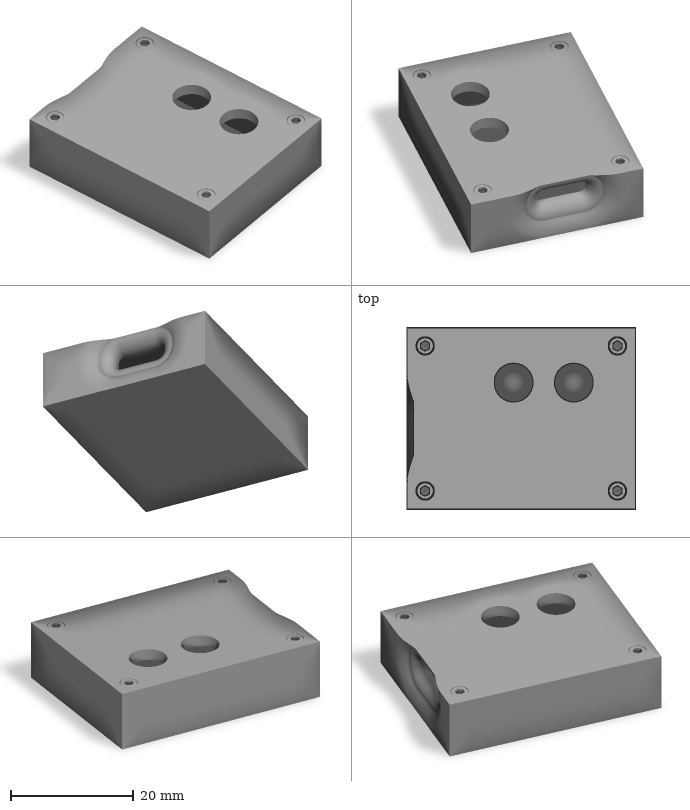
import cadquery as cq
import math

length = 37.5
width = 29.76
height = 10.2
lid_thickness = 2.0
box_height = height - lid_thickness

wall = 3.75
floor_thickness = 2.4

window_diameter = 6.35
window_count = 2
window_spacing = 9.86
first_window_x = 17.5
window_y = 5.87

port_y = -1.65
port_z = 6.5
port_width = 8.95
port_height = 3.05
port_corner_radius = 1.24
throat_round = 2.25
mouth_depth = 1.1
mouth_spread = 3.33
throat_radius = port_corner_radius + throat_round
mouth_radius = throat_radius + mouth_spread
throat_depth = mouth_depth + throat_round
mouth_arc_radius = (mouth_spread**2 + mouth_depth**2) / (2 * mouth_depth)
mouth_arc_angle = math.asin(mouth_spread / mouth_arc_radius)

screw_inset = 3.0
head_diameter = 3.0
head_height = 1.6
head_edge_chamfer = 0.15
socket_across_flats = 1.5
socket_depth = 0.7
socket_tip_depth = 0.07
socket_tip_flat = 0.03
hex_sides = 6
half_hex_step = 180 / hex_sides
socket_across_corners = socket_across_flats / math.cos(math.radians(half_hex_step))
shank_diameter = 1.5
shank_length = 5.0
screw_points = [
    (x, y)
    for x in (screw_inset, length - screw_inset)
    for y in (screw_inset - width / 2, width / 2 - screw_inset)
]


def block(x_size, y_size, z_bottom, z_top, x_start=0):
    """Box centred in Y that starts at x_start and fills z_bottom to z_top."""
    solid = cq.Workplane("XY").box(x_size, y_size, z_top - z_bottom, centered=(False, True, False))
    return solid.translate((x_start, 0, z_bottom))


def port_profile():
    """Half section of the port in XY: X is depth into the wall, Y is distance from the corner axis."""
    half_angle = mouth_arc_angle / 2
    mouth_middle = (
        mouth_arc_radius * (1 - math.cos(half_angle)),
        mouth_radius - mouth_arc_radius * math.sin(half_angle),
    )
    throat_middle = (
        mouth_depth + throat_round * (1 - math.cos(math.pi / 4)),
        throat_radius - throat_round * math.sin(math.pi / 4),
    )
    return (
        cq.Workplane("XY")
        .moveTo(0, 0)
        .lineTo(0, mouth_radius)
        .threePointArc(mouth_middle, (mouth_depth, throat_radius))
        .threePointArc(throat_middle, (throat_depth, port_corner_radius))
        .lineTo(wall, port_corner_radius)
        .lineTo(wall, 0)
        .close()
    )


def port_cutter():
    """Flared port: a straight run along each side and a quarter turn at each corner."""
    straight_y = port_width - 2 * port_corner_radius
    straight_z = port_height - 2 * port_corner_radius
    cutter = cq.Workplane("YZ").rect(straight_y, straight_z).extrude(wall)
    for quarter in range(4):
        along, across = (straight_z, straight_y) if quarter % 2 == 0 else (straight_y, straight_z)
        side = port_profile().extrude(along / 2, both=True).translate((0, across / 2, 0))
        corner = port_profile().revolve(90, (0, 0, 0), (1, 0, 0)).translate((0, across / 2, along / 2))
        segment = side.union(corner)
        cutter = cutter.union(segment.rotate((0, 0, 0), (1, 0, 0), 90 * quarter))
    return cutter.translate((0, port_y, port_z))


def make_screw():
    """Socket-head screw with the top of its head at Z = 0."""
    head = cq.Workplane("XY").circle(head_diameter / 2).extrude(-head_height)
    head = head.faces(">Z").edges().chamfer(head_edge_chamfer)
    shank = cq.Workplane("XY").circle(shank_diameter / 2).extrude(-head_height - shank_length)
    socket = cq.Workplane("XY").polygon(hex_sides, socket_across_corners).extrude(-socket_depth)
    tip = (
        cq.Workplane("XY")
        .workplane(offset=-socket_depth)
        .polygon(hex_sides, socket_across_corners)
        .workplane(offset=-socket_tip_depth)
        .polygon(hex_sides, socket_tip_flat)
        .loft()
    )
    socket = socket.union(tip).rotate((0, 0, 0), (0, 0, 1), half_hex_step)
    return head.union(shank).cut(socket)


def screw_hole():
    """Counterbored clearance that matches the outside of a screw."""
    head = cq.Workplane("XY").circle(head_diameter / 2).extrude(-head_height)
    shank = cq.Workplane("XY").circle(shank_diameter / 2).extrude(-head_height - shank_length)
    return head.union(shank)


port = port_cutter()

cavity = block(length - 2 * wall, width - 2 * wall, floor_thickness, box_height, wall)
box = block(length, width, 0, box_height).cut(cavity).cut(port)

lid = block(length, width, box_height, height).cut(port)
for index in range(window_count):
    window = cq.Workplane("XY").circle(window_diameter / 2).extrude(height)
    lid = lid.cut(window.translate((first_window_x + index * window_spacing, window_y, 0)))

screws = []
for x, y in screw_points:
    place = (x, y, height)
    box = box.cut(screw_hole().translate(place))
    lid = lid.cut(screw_hole().translate(place))
    screws.append(make_screw().translate(place).val())

result = cq.Compound.makeCompound([box.val(), lid.val(), *screws])